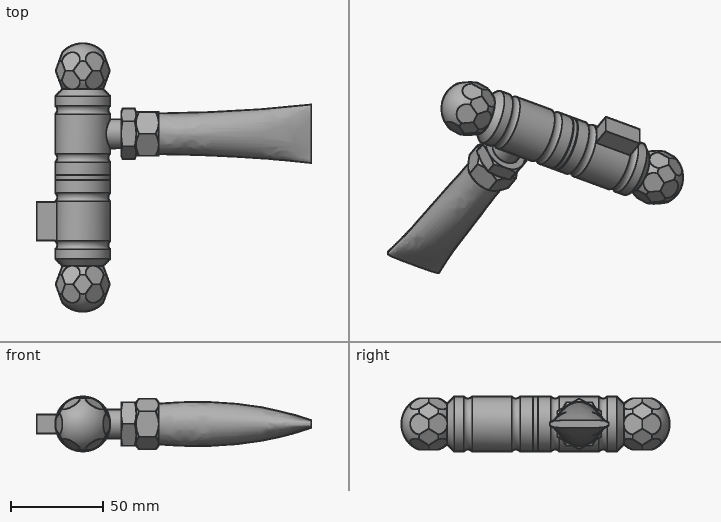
import cadquery as cq
import math

barrel_diameter = 30.0
overall_length = 145.7

washer_width = 2.7
rim_chamfer = 0.22
inner_groove_start = 8.3
sleeve_start = 13.0
sleeve_end = 34.4
outer_groove_end = 38.9
collar_end = 44.1
neck_chamfer = 3.7
groove_depth = 1.0

facet_count = 6
belt_facet_distance = 14.0
tilted_facet_distance = 13.9
facet_tilt = 20

block_reach = 25.0
block_height = 10.5
block_length = 21.0

stud_diameter = 16.0
hex_across_flats = 23.8
nut_start = 20.9
nut_end = 28.9
nut_chamfer = 0.7
anchor_hex_end = 41.1
anchor_hex_chamfer = 1.6
anchor_hex_turn = 30
tail_collar_end = 42.0
tail_diameter = 22.4
tail_end = 124.0
tail_section_points = 48
tail_stations = [
    (tail_collar_end, tail_diameter, tail_diameter, 2),
    (67, 23.5, 24.0, 2),
    (96.8, 26.8, 18.3, 2),
    (tail_end, 31.9, 4.2, 4),
]


barrel_radius = barrel_diameter / 2
ball_center = overall_length / 2 - barrel_radius
sleeve_center = (sleeve_start + sleeve_end) / 2
washer_face = washer_width / 2


def facet_cutter(distance, azimuth, tilt):
    """Block whose inner face lies at a distance from the ball centre, facing azimuth and tilt."""
    size = 2 * barrel_radius
    block = cq.Workplane("XY").box(size, size, size).translate((distance + size / 2, 0, 0))
    block = block.rotate((0, 0, 0), (0, 0, 1), tilt)
    return block.rotate((0, 0, 0), (0, 1, 0), azimuth)


def faceted_ball():
    """Ball with a belt of flats around its equator and a tilted row on either side of it."""
    ball = cq.Workplane("XY").sphere(barrel_radius)
    step = 360 / facet_count
    for i in range(facet_count):
        ball = ball.cut(facet_cutter(belt_facet_distance, (i + 0.5) * step, 0))
        for tilt in (facet_tilt, -facet_tilt):
            ball = ball.cut(facet_cutter(tilted_facet_distance, i * step, tilt))
    return ball.translate((0, ball_center, 0))


def knuckle():
    """Turned barrel from the washer face outwards along +Y, with its ball."""
    groove_radius = barrel_radius - groove_depth
    profile = (
        cq.Workplane("XY")
        .moveTo(0, washer_face)
        .lineTo(barrel_radius - rim_chamfer, washer_face)
        .lineTo(barrel_radius, washer_face + rim_chamfer)
        .lineTo(barrel_radius, inner_groove_start)
        .threePointArc(
            (groove_radius, (inner_groove_start + sleeve_start) / 2), (barrel_radius, sleeve_start)
        )
        .lineTo(barrel_radius, sleeve_end)
        .threePointArc(
            (groove_radius, (sleeve_end + outer_groove_end) / 2), (barrel_radius, outer_groove_end)
        )
        .lineTo(barrel_radius, collar_end)
        .lineTo(barrel_radius - neck_chamfer, collar_end + neck_chamfer)
        .lineTo(barrel_radius - neck_chamfer, ball_center)
        .lineTo(0, ball_center)
        .close()
    )
    barrel = profile.revolve(360, (0, 0, 0), (0, 1, 0))
    return barrel.union(faceted_ball())


def along_stud(x):
    """Workplane across the stud axis at the given X."""
    return cq.Workplane("YZ", origin=(x, sleeve_center, 0))


def upper_knuckle():
    """Knuckle with the stud that carries the nut and ends at the anchor."""
    stud = along_stud(0).circle(stud_diameter / 2).extrude(nut_end)
    return knuckle().union(stud)


def lower_knuckle():
    """Mirrored knuckle with the weld block on its -X side."""
    block = cq.Workplane("XY").box(block_reach, block_length, block_height)
    block = block.translate((-block_reach / 2, -sleeve_center, 0))
    return knuckle().mirror("XZ").union(block)


def washer():
    """Plain disc between the two knuckles with chamfered rims."""
    return (
        cq.Workplane("XZ", origin=(0, washer_face, 0))
        .circle(barrel_radius)
        .extrude(washer_width)
        .edges()
        .chamfer(rim_chamfer)
    )


def hexagon(start, end, chamfer, turn):
    """Hexagonal prism along the stud axis with its corners chamfered at both ends."""
    corner_radius = hex_across_flats / math.sqrt(3)
    prism = along_stud(start).polygon(6, 2 * corner_radius).extrude(end - start)
    prism = prism.rotate((0, sleeve_center, 0), (1, sleeve_center, 0), turn)
    envelope = (
        along_stud(start)
        .circle(corner_radius)
        .extrude(end - start)
        .faces("<X or >X")
        .chamfer(chamfer, corner_radius - hex_across_flats / 2)
    )
    return prism.intersect(envelope)


def lock_nut():
    """Hexagon nut on the stud, with two of its corners lying along Y."""
    bore = along_stud(nut_start).circle(stud_diameter / 2).extrude(nut_end - nut_start)
    return hexagon(nut_start, nut_end, nut_chamfer, 0).cut(bore)


def tail_section(x, half_width, half_thickness, exponent):
    """Closed superellipse across the stud axis; exponent 2 is an ellipse, more is boxier."""
    outline = []
    for i in range(tail_section_points):
        angle = 2 * math.pi * i / tail_section_points
        c = math.cos(angle)
        s = math.sin(angle)
        y = math.copysign(half_width * abs(c) ** (2 / exponent), c)
        z = math.copysign(half_thickness * abs(s) ** (2 / exponent), s)
        outline.append((y, z))
    return along_stud(x).spline(outline, periodic=True).wire().val()


def anchor():
    """Hexagon, short round collar and a tail that flattens and widens to its tip."""
    head = hexagon(nut_end, anchor_hex_end, anchor_hex_chamfer, anchor_hex_turn)
    sections = [
        tail_section(x, width / 2, thickness / 2, exponent)
        for x, width, thickness, exponent in tail_stations
    ]
    collar_length = tail_collar_end - anchor_hex_end
    collar = cq.Solid.extrudeLinear(sections[0], [], cq.Vector(-collar_length, 0, 0))
    tail = cq.Solid.makeLoft(sections)
    return head.union(cq.Workplane(collar.fuse(tail)))


result = cq.Compound.makeCompound(
    [
        upper_knuckle().val(),
        lower_knuckle().val(),
        washer().val(),
        lock_nut().val(),
        anchor().val(),
    ]
)